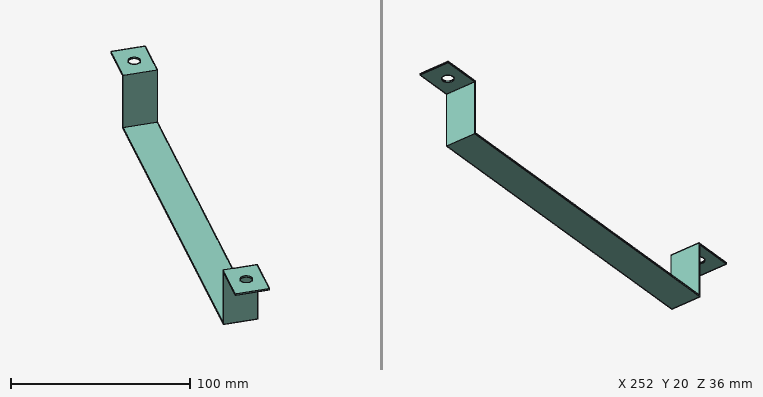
import cadquery as cq

length = 252.0
width = 20.0
height = 36.0
thickness = 1.0

ear_length = 25.0
hole_diameter = 7.0
hole_inset = ear_length / 2

half_length = length / 2
inner_half = half_length - ear_length
outer_half = inner_half + thickness


def strip_profile():
    """Closed hat-shaped outline in the XZ plane, with its base on Z = 0."""
    return (
        cq.Workplane("XZ")
        .moveTo(-outer_half, 0)
        .lineTo(outer_half, 0)
        .lineTo(outer_half, height - thickness)
        .lineTo(half_length, height - thickness)
        .lineTo(half_length, height)
        .lineTo(inner_half, height)
        .lineTo(inner_half, thickness)
        .lineTo(-inner_half, thickness)
        .lineTo(-inner_half, height)
        .lineTo(-half_length, height)
        .lineTo(-half_length, height - thickness)
        .lineTo(-outer_half, height - thickness)
        .close()
    )


def ear_holes():
    """Cylinders that pass through the two ears only."""
    hole_x = half_length - hole_inset
    return (
        cq.Workplane("XY")
        .workplane(offset=height - thickness)
        .pushPoints([(-hole_x, 0), (hole_x, 0)])
        .circle(hole_diameter / 2)
        .extrude(thickness)
    )


strip = strip_profile().extrude(width / 2, both=True)
result = strip.cut(ear_holes())